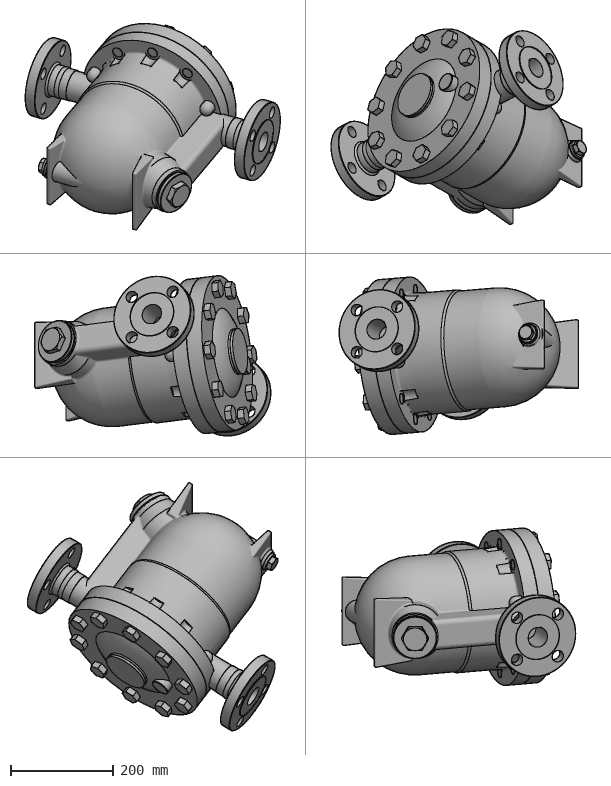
import cadquery as cq
import math


neck_radius = 119.5
shell_radius = 117.0
neck_top_radius = 121.0
neck_root_fillet = 4.5
neck_taper_end_y = -17.0
step_start_y = -90.0
step_end_y = -95.0
dome_centre_y = -169.0

flange_diameter = 305.0
flange_bottom_y = 8.5
joint_y = 38.5
cover_top_y = 70.5
joint_groove_depth = 0.3
joint_groove_width = 0.6
bolt_circle_radius = 130.0
bolt_count = 10
bolt_pitch = 360.0 / bolt_count
bolt_head_flats = 30.0
bolt_head_height = 13.0
bolt_end_diameter = 21.0
bolt_end_recess = 1.0
bolt_pocket_diameter = 32.0
bolt_pocket_end_y = -19.6
cap_radius = 13.5
cap_dome_start_y = -1.5

crown_base_radius = 88.0
crown_top_radius = 45.0
crown_bulge = 2.5
pad_start_y = 88.0
pad_lip_y = 92.0
pad_lip_depth = 1.0
pad_top_y = 97.5
cover_boss_x = -75.5
cover_boss_diameter = 36.0
cover_boss_top_y = 88.0
cover_boss_chamfer = 1.0

pipe_radius = 30.0
inlet_face_x = -237.0
outlet_face_x = 247.0
pipe_flange_diameter = 160.0
pipe_flange_thickness = 22.0
raised_face_diameter = 90.0
raised_face_height = 2.0
pipe_flange_edge = 1.0
hub_root_radius = 36.0
hub_root_length = 4.0
hub_radius = 32.0
stub_radius = 31.0
hub_length = 13.0
weld_start = 17.5
weld_end = 27.0
weld_crown = 1.2
stub_length = 43.5
bore_diameter = 40.0
bore_depth = raised_face_height + pipe_flange_thickness + stub_length
pipe_hole_diameter = 23.0
pipe_hole_circle_radius = 60.0
pipe_hole_count = 4
pipe_hole_start_angle = 45.0

column_outer_x = 169.5
column_end_y = -195.0
column_edge_radius = 10.0
column_blend_radius = 5.0
housing_tilt = -20.0
housing_origin_y = -166.0
housing_radius = 54.5
housing_blend_radius = 6.0
housing_cone_start = 132.0
housing_cone_end = 159.0
housing_end = 170.0
housing_lip_radius = 45.0
gasket_radius = 41.5
gasket_end = 172.5
plug_radius = 42.5
plug_end = 181.0
plug_edge = 1.0
plug_hex_end = 194.0
plug_hex_flats = 46.0

foot_tip_y = -290.3
foot_tip_half_width = 69.0
foot_side_slope = 0.1
foot_tip_thickness = 9.0
foot_thickness_slope = 0.21
foot_edge_radius = 2.5
foot_blend_radius = 3.0
left_foot_x = -83.0
left_foot_top_y = -227.0
right_foot_x = 113.6
right_foot_top_y = -213.0

drain_radius = 23.0
drain_y = dome_centre_y - shell_radius + drain_radius
drain_root_fillet = 4.0
drain_collar_radius = 20.0
drain_collar_x = -93.0
drain_plug_radius = 18.0
drain_plug_x = -98.0
drain_hex_x = -108.0
drain_hex_flats = 26.0


def revolve_about_y(profile):
    """Revolve an XY profile with one side on the Y axis into a full turned body."""
    return profile.close().revolve(360, (0, 0, 0), (0, 1, 0))


def hexagon_diameter(flats):
    return flats / math.cos(math.pi / 6)


def rod_along_y(x, z, diameter, start_y, end_y):
    plane = cq.Plane(origin=(x, start_y, z), xDir=(1, 0, 0), normal=(0, 1, 0))
    return cq.Workplane(plane).circle(diameter / 2).extrude(end_y - start_y)


def make_vessel():
    diagonal = shell_radius * math.sqrt(0.5)
    profile = (
        cq.Workplane("XY")
        .moveTo(0, flange_bottom_y)
        .lineTo(neck_top_radius + neck_root_fillet, flange_bottom_y)
        .radiusArc((neck_top_radius, flange_bottom_y - neck_root_fillet), -neck_root_fillet)
        .lineTo(neck_radius, neck_taper_end_y)
        .lineTo(neck_radius, step_start_y)
        .lineTo(shell_radius, step_end_y)
        .lineTo(shell_radius, dome_centre_y)
        .threePointArc((diagonal, dome_centre_y - diagonal), (0, dome_centre_y - shell_radius))
    )
    return revolve_about_y(profile)


def make_flange_joint():
    joint = rod_along_y(0, 0, flange_diameter, flange_bottom_y, cover_top_y)
    groove_start_y = joint_y - joint_groove_width / 2
    groove_end_y = joint_y + joint_groove_width / 2
    groove = rod_along_y(0, 0, flange_diameter, groove_start_y, groove_end_y)
    core = rod_along_y(0, 0, flange_diameter - 2 * joint_groove_depth, groove_start_y, groove_end_y)
    return joint.cut(groove.cut(core))


def make_crown():
    chord_x = crown_top_radius - crown_base_radius
    chord_y = pad_start_y - cover_top_y
    chord = math.hypot(chord_x, chord_y)
    bulge_point = (
        (crown_base_radius + crown_top_radius) / 2 + crown_bulge * chord_y / chord,
        (cover_top_y + pad_start_y) / 2 - crown_bulge * chord_x / chord,
    )
    profile = (
        cq.Workplane("XY")
        .moveTo(0, cover_top_y)
        .lineTo(crown_base_radius, cover_top_y)
        .threePointArc(bulge_point, (crown_top_radius, pad_start_y))
        .lineTo(crown_top_radius - pad_lip_depth, pad_lip_y)
        .lineTo(crown_top_radius, pad_lip_y)
        .lineTo(crown_top_radius, pad_top_y)
        .lineTo(0, pad_top_y)
    )
    boss = rod_along_y(cover_boss_x, 0, cover_boss_diameter, cover_top_y, cover_boss_top_y)
    boss = boss.faces(">Y").chamfer(cover_boss_chamfer)
    return revolve_about_y(profile).union(boss)


def bolt_angles():
    return [90 + i * bolt_pitch for i in range(bolt_count)]


def bolt_position(angle):
    radians = math.radians(angle)
    return bolt_circle_radius * math.cos(radians), bolt_circle_radius * math.sin(radians)


def is_beside_pipe(angle):
    """The bolts next to the pipe have domed caps in place of open ends."""
    return abs(math.cos(math.radians(angle))) > math.cos(math.radians(bolt_pitch))


def make_bolt_head(angle):
    x, z = bolt_position(angle)
    direction = (math.sin(math.radians(angle)), 0, -math.cos(math.radians(angle)))
    plane = cq.Plane(origin=(x, cover_top_y, z), xDir=direction, normal=(0, 1, 0))
    return cq.Workplane(plane).polygon(6, hexagon_diameter(bolt_head_flats)).extrude(bolt_head_height)


def make_cap(angle):
    x, z = bolt_position(angle)
    plane = cq.Plane(origin=(x, 0, z), xDir=(1, 0, 0), normal=(0, 0, 1))
    diagonal = cap_radius * math.sqrt(0.5)
    cap = (
        cq.Workplane(plane)
        .moveTo(0, joint_y)
        .lineTo(cap_radius, joint_y)
        .lineTo(cap_radius, cap_dome_start_y)
        .threePointArc((diagonal, cap_dome_start_y - diagonal), (0, cap_dome_start_y - cap_radius))
    )
    return revolve_about_y(cap)


def make_bolt_pocket(angle):
    x, z = bolt_position(angle)
    return rod_along_y(x, z, bolt_pocket_diameter, bolt_pocket_end_y, flange_bottom_y)


def make_bolt_recess(angle):
    x, z = bolt_position(angle)
    return rod_along_y(x, z, bolt_end_diameter, flange_bottom_y, flange_bottom_y + bolt_end_recess)


def inward_sign(x):
    """Sign of the X direction that leads from x towards the vessel axis."""
    return -math.copysign(1, x)


def pipe_end_plane(face_x):
    """Plane on a pipe end face, its normal pointing in towards the vessel."""
    return cq.Plane(origin=(face_x, 0, 0), xDir=(0, 1, 0), normal=(inward_sign(face_x), 0, 0))


def make_pipe_end(face_x):
    plane = pipe_end_plane(face_x)
    flange = (
        cq.Workplane(plane)
        .workplane(offset=raised_face_height)
        .circle(pipe_flange_diameter / 2)
        .extrude(pipe_flange_thickness)
        .edges()
        .chamfer(pipe_flange_edge)
    )
    raised_face = cq.Workplane(plane).circle(raised_face_diameter / 2).extrude(raised_face_height)

    inward = inward_sign(face_x)
    back_x = face_x + inward * (raised_face_height + pipe_flange_thickness)

    def at(distance):
        return back_x + inward * distance

    hub_profile = (
        cq.Workplane("XY")
        .moveTo(at(0), 0)
        .lineTo(at(0), hub_root_radius)
        .lineTo(at(hub_root_length), hub_radius)
        .lineTo(at(hub_length), hub_radius)
        .lineTo(at(weld_start), stub_radius)
        .threePointArc((at((weld_start + weld_end) / 2), stub_radius + weld_crown), (at(weld_end), stub_radius))
        .lineTo(at(stub_length), stub_radius)
        .lineTo(at(stub_length), 0)
        .close()
    )
    hub = hub_profile.revolve(360, (0, 0, 0), (1, 0, 0))
    pipe = cq.Workplane(plane).circle(pipe_radius).extrude(abs(face_x) - neck_radius / 2)
    return flange.union(raised_face).union(hub).union(pipe)


def make_pipe_bores(face_x):
    plane = pipe_end_plane(face_x)
    flange_depth = raised_face_height + pipe_flange_thickness
    bore = cq.Workplane(plane).circle(bore_diameter / 2).extrude(bore_depth)
    holes = (
        cq.Workplane(plane)
        .polarArray(pipe_hole_circle_radius, pipe_hole_start_angle, 360, pipe_hole_count)
        .circle(pipe_hole_diameter / 2)
        .extrude(flange_depth)
    )
    return bore.union(holes)


def housing_point(distance):
    """XY point on the tilted housing axis, measured from the vessel axis."""
    tilt = math.radians(housing_tilt)
    return distance * math.cos(tilt), housing_origin_y + distance * math.sin(tilt)


def make_column():
    column = (
        cq.Workplane("XY")
        .polyline([
            (0, 0),
            (column_outer_x, 0),
            (column_outer_x, column_end_y),
            housing_point(housing_cone_end),
            (0, housing_origin_y),
        ])
        .close()
        .extrude(pipe_radius, both=True)
    )
    return column.faces(">X").edges("|Y").fillet(column_edge_radius)


def make_housing():
    profile = (
        cq.Workplane("XY")
        .polyline([
            (0, 0),
            (0, housing_radius),
            (housing_cone_start, housing_radius),
            (housing_cone_end, housing_lip_radius),
            (housing_end, housing_lip_radius),
            (housing_end, gasket_radius),
            (gasket_end, gasket_radius),
            (gasket_end, plug_radius),
            (plug_end - plug_edge, plug_radius),
            (plug_end, plug_radius - plug_edge),
            (plug_end, 0),
        ])
        .close()
    )
    housing = profile.revolve(360, (0, 0, 0), (1, 0, 0))
    plug_hex = make_hex_along_x(plug_hex_flats, plug_end, plug_hex_end)
    housing = housing.union(plug_hex)
    return housing.rotate((0, 0, 0), (0, 0, 1), housing_tilt).translate((0, housing_origin_y, 0))


def make_hex_along_x(flats, start_x, end_x):
    """Hexagonal head along X with two of its flats facing up and down."""
    plane = cq.Plane(origin=(start_x, 0, 0), xDir=(0, 1, 0), normal=(1, 0, 0))
    head = cq.Workplane(plane).polygon(6, hexagon_diameter(flats)).extrude(end_x - start_x)
    bevel = (
        cq.Workplane("XY")
        .polyline([(start_x, 0), (start_x, flats), (end_x, flats / 2), (end_x, 0)])
        .close()
        .revolve(360, (0, 0, 0), (1, 0, 0))
    )
    return head.intersect(bevel)


def make_foot(outer_x, top_y):
    """Tapered plate foot: flat on its outer face, thicker towards the vessel."""
    inward = inward_sign(outer_x)
    height = top_y - foot_tip_y
    top_thickness = foot_tip_thickness + foot_thickness_slope * height
    top_half_width = foot_tip_half_width - foot_side_slope * height
    side = (
        cq.Workplane("XY")
        .polyline([
            (outer_x, foot_tip_y),
            (outer_x + inward * foot_tip_thickness, foot_tip_y),
            (outer_x + inward * top_thickness, top_y),
            (outer_x, top_y),
        ])
        .close()
        .extrude(foot_tip_half_width, both=True)
    )
    face = (
        cq.Workplane("YZ")
        .polyline([
            (foot_tip_y, -foot_tip_half_width),
            (foot_tip_y, foot_tip_half_width),
            (top_y, top_half_width),
            (top_y, -top_half_width),
        ])
        .close()
        .extrude(2 * outer_x)
    )
    return side.intersect(face).edges().fillet(foot_edge_radius)


def make_drain():
    root_end_x = left_foot_x - drain_root_fillet
    profile = (
        cq.Workplane("XY")
        .lineTo(0, drain_radius)
        .lineTo(left_foot_x, drain_radius)
        .lineTo(left_foot_x, drain_radius + drain_root_fillet)
        .radiusArc((root_end_x, drain_radius), drain_root_fillet)
        .lineTo(drain_collar_x, drain_collar_radius)
        .lineTo(drain_collar_x, drain_plug_radius)
        .lineTo(drain_plug_x, drain_plug_radius)
        .lineTo(drain_plug_x, 0)
        .close()
    )
    drain = profile.revolve(360, (0, 0, 0), (1, 0, 0))
    drain = drain.union(make_hex_along_x(drain_hex_flats, drain_plug_x, drain_hex_x))
    return drain.translate((0, drain_y, 0))


def box_holds(box, point):
    """Tell whether a point is inside a bounding box, or within a hair of it."""
    margin = 1e-3
    return (
        box.xmin - margin < point.x < box.xmax + margin
        and box.ymin - margin < point.y < box.ymax + margin
        and box.zmin - margin < point.z < box.zmax + margin
    )


def lies_on(points, edge, box):
    """Tell whether all the points are on an edge; the edge's box rules most edges out early."""
    tolerance = 1e-3
    if not all(box_holds(box, point) for point in points):
        return False
    vertices = [cq.Vertex.makeVertex(*point.toTuple()) for point in points]
    return all(edge.distance(vertex) < tolerance for vertex in vertices)


def blend(body, addition, radius, below_y=math.inf):
    """Join two solids and round the edges where they meet, as far as these lie below a given Y."""
    old_edges = [(edge, edge.BoundingBox()) for edge in body.edges().vals() + addition.edges().vals()]
    addition_box = addition.val().BoundingBox()
    sample_fractions = (0.3, 0.6)
    joined = body.union(addition)
    meeting = []
    for edge in joined.edges().vals():
        points = [edge.positionAt(fraction) for fraction in sample_fractions]
        is_near = all(box_holds(addition_box, point) and point.y < below_y for point in points)
        if is_near and not any(lies_on(points, old, box) for old, box in old_edges):
            meeting.append(edge)
    return joined.newObject(meeting).fillet(radius)


def build_casting():
    casting = blend(make_vessel(), make_foot(left_foot_x, left_foot_top_y), foot_blend_radius)
    casting = blend(casting, make_housing(), housing_blend_radius)
    casting = blend(casting, make_column(), column_blend_radius, below_y=step_end_y)
    casting = blend(casting, make_foot(right_foot_x, right_foot_top_y), foot_blend_radius)
    return casting.union(make_drain())


def fuse_all(body, additions):
    return body.newObject([body.val().fuse(*[addition.val() for addition in additions])])


def cut_all(body, tools):
    return body.newObject([body.val().cut(*[tool.val() for tool in tools])])


def build_part():
    capped_angles = [angle for angle in bolt_angles() if is_beside_pipe(angle)]
    open_angles = [angle for angle in bolt_angles() if not is_beside_pipe(angle)]
    pipe_faces = (inlet_face_x, outlet_face_x)

    body = cut_all(build_casting(), [make_bolt_pocket(angle) for angle in open_angles])
    body = fuse_all(
        body,
        [make_flange_joint(), make_crown()]
        + [make_bolt_head(angle) for angle in bolt_angles()]
        + [make_cap(angle) for angle in capped_angles]
        + [make_pipe_end(face_x) for face_x in pipe_faces],
    )
    return cut_all(
        body,
        [make_bolt_recess(angle) for angle in open_angles]
        + [make_pipe_bores(face_x) for face_x in pipe_faces],
    )


result = build_part().solids()